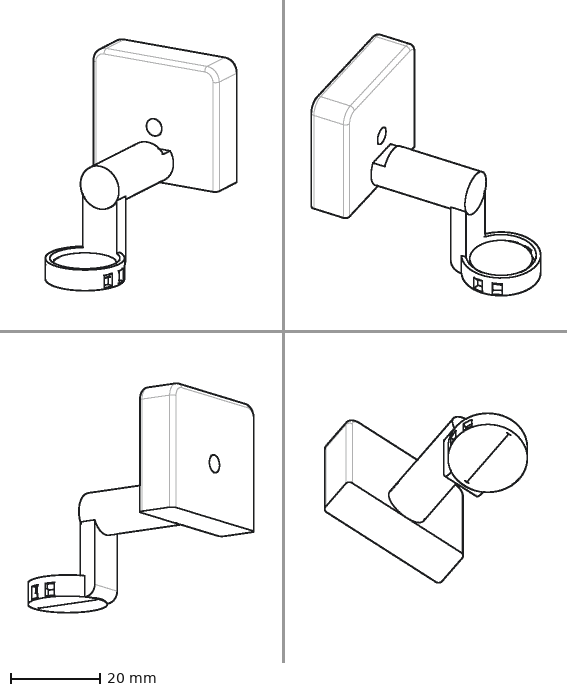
import cadquery as cq
import math

OVERALL_LENGTH = 48.8
OVERALL_HEIGHT = 43.55

CUP_RADIUS = 8.9
CUP_HEIGHT = 4.9
BORE_RADIUS = 7.85
VALLEY_Z = 0.1
FLOOR_SLOPE_ANGLE = 15
FLOOR_SLOPE = math.tan(math.radians(FLOOR_SLOPE_ANGLE))

POCKET_ANGLES = (7.5, -22.5)
POCKET_WIDTH = 2.25
POCKET_HEIGHT = 2.95
POCKET_BOTTOM = 0.35
POCKET_INNER_RADIUS = 7.25

DISC_RADIUS = 14.0 / 2
DISC_TOP = 3.9
DISC_BOTTOM = VALLEY_Z + DISC_RADIUS * FLOOR_SLOPE

BLOCK_WIDTH = 32.55
BLOCK_DEPTH = 9.55
BLOCK_HEIGHT = 28.9
BLOCK_CORNER_RADIUS = 3.15
BLOCK_EDGE_RADIUS = 1.03
BLOCK_BOTTOM = OVERALL_HEIGHT - BLOCK_HEIGHT
BLOCK_BACK = OVERALL_LENGTH - CUP_RADIUS
BLOCK_FRONT = BLOCK_BACK - BLOCK_DEPTH
HOLE_DIAMETER = 4.0
HOLE_Z = 27.35

LEG_WIDTH = 8.9
LEG_FRONT = math.sqrt(BORE_RADIUS**2 - (LEG_WIDTH / 2) ** 2)
LEG_BACK = LEG_FRONT + 3.95
LEG_HEEL_RADIUS = 2.6

ARM_RADIUS = 10.05 / 2
ARM_Z = BLOCK_BOTTOM + ARM_RADIUS
NOTCH_LENGTH = 3.0
NOTCH_DEPTH = 2.2


def make_block():
    """Upright block with rounded top corners, rounded face edges and a through hole."""
    block = (
        cq.Workplane("XY")
        .box(BLOCK_WIDTH, BLOCK_DEPTH, BLOCK_HEIGHT, centered=(True, False, False))
        .translate((0, BLOCK_FRONT, BLOCK_BOTTOM))
        .edges("|Y and >Z")
        .fillet(BLOCK_CORNER_RADIUS)
    )
    block = block.edges("(<Y or >Y) and >Z").fillet(BLOCK_EDGE_RADIUS)
    hole = (
        cq.Workplane("XZ", origin=(0, BLOCK_BACK, HOLE_Z))
        .circle(HOLE_DIAMETER / 2)
        .extrude(BLOCK_DEPTH)
    )
    return block.cut(hole)


def make_arm():
    """Round arm with a flat notch on top where it meets the block."""
    arm = (
        cq.Workplane("XZ", origin=(0, BLOCK_FRONT, ARM_Z))
        .circle(ARM_RADIUS)
        .extrude(BLOCK_FRONT - LEG_FRONT)
    )
    notch = (
        cq.Workplane("XY")
        .box(2 * ARM_RADIUS, NOTCH_LENGTH, NOTCH_DEPTH, centered=(True, False, False))
        .translate((0, BLOCK_FRONT - NOTCH_LENGTH, ARM_Z + ARM_RADIUS - NOTCH_DEPTH))
    )
    return arm.cut(notch)


def make_leg():
    """Leg from the cup up into the arm, with a rounded heel and a front hollowed to the bore."""
    leg = (
        cq.Workplane("XY")
        .box(LEG_WIDTH, LEG_BACK, ARM_Z, centered=(True, False, False))
        .edges("|X and >Y and <Z")
        .fillet(LEG_HEEL_RADIUS)
    )
    hollow = cq.Workplane("XY").circle(BORE_RADIUS).extrude(ARM_Z)
    return leg.cut(hollow)


def make_bore():
    """Round cavity of the cup, with a V-shaped floor whose valley runs along Y."""
    floor_edge_z = VALLEY_Z + BORE_RADIUS * FLOOR_SLOPE
    space_above_floor = (
        cq.Workplane("XZ")
        .moveTo(0, VALLEY_Z)
        .lineTo(BORE_RADIUS, floor_edge_z)
        .lineTo(BORE_RADIUS, CUP_HEIGHT)
        .lineTo(-BORE_RADIUS, CUP_HEIGHT)
        .lineTo(-BORE_RADIUS, floor_edge_z)
        .close()
        .extrude(BORE_RADIUS, both=True)
    )
    return cq.Workplane("XY").circle(BORE_RADIUS).extrude(CUP_HEIGHT).intersect(space_above_floor)


def make_pocket(angle):
    """Radial cutter for one side pocket."""
    return (
        cq.Workplane("XY")
        .box(CUP_RADIUS - POCKET_INNER_RADIUS, POCKET_WIDTH, POCKET_HEIGHT, centered=(False, True, False))
        .translate((POCKET_INNER_RADIUS, 0, POCKET_BOTTOM))
        .rotate((0, 0, 0), (0, 0, 1), angle)
    )


def make_holder():
    """Block, arm, leg and cup in one piece."""
    cup = cq.Workplane("XY").circle(CUP_RADIUS).extrude(CUP_HEIGHT)
    holder = make_block().union(make_arm()).union(make_leg().union(cup))
    holder = holder.cut(make_bore())
    for angle in POCKET_ANGLES:
        for side_angle in (angle, 180 - angle):
            holder = holder.cut(make_pocket(side_angle))
    return holder


def make_disc():
    """Plain disc seated across the V-shaped cup floor."""
    return (
        cq.Workplane("XY", origin=(0, 0, DISC_BOTTOM))
        .circle(DISC_RADIUS)
        .extrude(DISC_TOP - DISC_BOTTOM)
    )


holder = make_holder()
disc = make_disc()
result = cq.Compound.makeCompound([holder.val(), disc.val()])